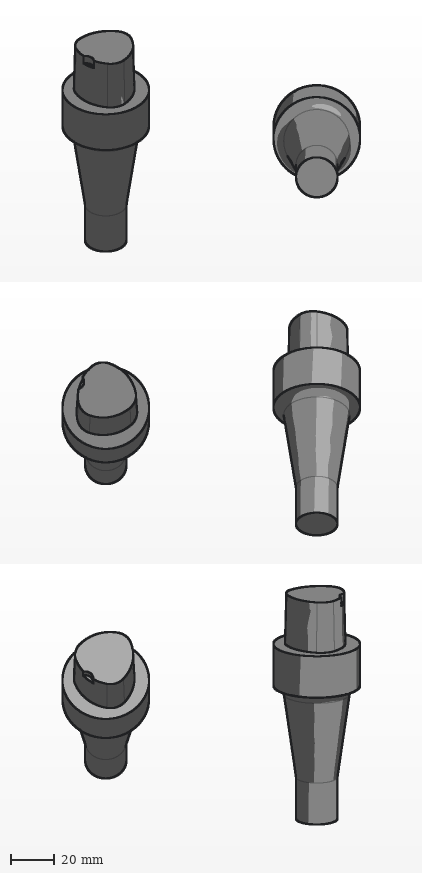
import math

import cadquery as cq

flange_diameter = 40.0
flange_height = 20.0
stem_diameter = 19.2
stem_length = 20.0
cone_length = 40.0
cone_half_angle = math.radians(8.0)
fillet_height = 4.05

shank_height = 24.0
shank_width = 28.0
lobe_center_distance = 6.25
taper_per_length = 1 / 20
lobe_count = 3
top_lobe_angle = 90.0

keyway_width = 6.2
keyway_depth = 4.0
keyway_radius = 4.0
keyway_bottom_y = -10.85

flange_radius = flange_diameter / 2
stem_radius = stem_diameter / 2
cone_top_radius = stem_radius + cone_length * math.tan(cone_half_angle)

flange_bottom_z = -flange_height
cone_top_z = flange_bottom_z - fillet_height
cone_bottom_z = cone_top_z - cone_length
stem_bottom_z = cone_bottom_z - stem_length


def polar(radius, angle_degrees):
    angle = math.radians(angle_degrees)
    return radius * math.cos(angle), radius * math.sin(angle)


def round_body():
    """Flange, fillet, cone and stem revolved about the Z axis."""
    fillet_radius = fillet_height / (1 - math.sin(cone_half_angle))
    fillet_center_r = cone_top_radius + fillet_radius * math.cos(cone_half_angle)
    fillet_center_z = flange_bottom_z - fillet_radius
    middle_angle = 90 + (90 - math.degrees(cone_half_angle)) / 2
    middle_r, middle_z = polar(fillet_radius, middle_angle)

    profile = (
        cq.Workplane("XZ")
        .lineTo(flange_radius, 0)
        .lineTo(flange_radius, flange_bottom_z)
        .lineTo(fillet_center_r, flange_bottom_z)
        .threePointArc(
            (fillet_center_r + middle_r, fillet_center_z + middle_z),
            (cone_top_radius, cone_top_z),
        )
        .lineTo(stem_radius, cone_bottom_z)
        .lineTo(stem_radius, stem_bottom_z)
        .lineTo(0, stem_bottom_z)
        .close()
    )
    return profile.revolve(360, (0, 0), (0, 1))


def shank_outline(workplane, width):
    """Constant-width outline: each long side arc is centred on the opposite lobe centre."""
    center_spacing = lobe_center_distance * math.sqrt(3)
    lobe_radius = (width - center_spacing) / 2
    side_radius = lobe_radius + center_spacing
    lobe_tip = lobe_center_distance + lobe_radius
    side_middle = side_radius - lobe_center_distance
    lobe_pitch = 360 / lobe_count

    def lobe_end(lobe_angle, side):
        center_x, center_y = polar(lobe_center_distance, lobe_angle)
        offset_x, offset_y = polar(lobe_radius, lobe_angle + side * lobe_pitch / 4)
        return center_x + offset_x, center_y + offset_y

    outline = workplane.moveTo(*lobe_end(top_lobe_angle, -1))
    for lobe in range(lobe_count):
        angle = top_lobe_angle + lobe * lobe_pitch
        outline = outline.threePointArc(polar(lobe_tip, angle), lobe_end(angle, 1))
        outline = outline.threePointArc(
            polar(side_middle, angle + lobe_pitch / 2), lobe_end(angle + lobe_pitch, -1)
        )
    return outline.close()


def polygon_shank():
    """Three-lobed shank that narrows evenly toward its top face."""
    top_width = shank_width - shank_height * taper_per_length
    base = shank_outline(cq.Workplane("XY"), shank_width)
    return shank_outline(base.workplane(offset=shank_height), top_width).loft(ruled=True)


def keyway_cutter():
    """Round-bottomed slot that opens to the top face and to -Y."""
    half_width = keyway_width / 2
    arc_rise = keyway_radius - math.sqrt(keyway_radius**2 - half_width**2)
    arc_end_y = keyway_bottom_y - arc_rise
    return (
        cq.Workplane("XY", origin=(0, 0, shank_height - keyway_depth))
        .moveTo(-half_width, -flange_radius)
        .lineTo(-half_width, arc_end_y)
        .threePointArc((0, keyway_bottom_y), (half_width, arc_end_y))
        .lineTo(half_width, -flange_radius)
        .close()
        .extrude(keyway_depth)
    )


result = round_body().union(polygon_shank()).cut(keyway_cutter())